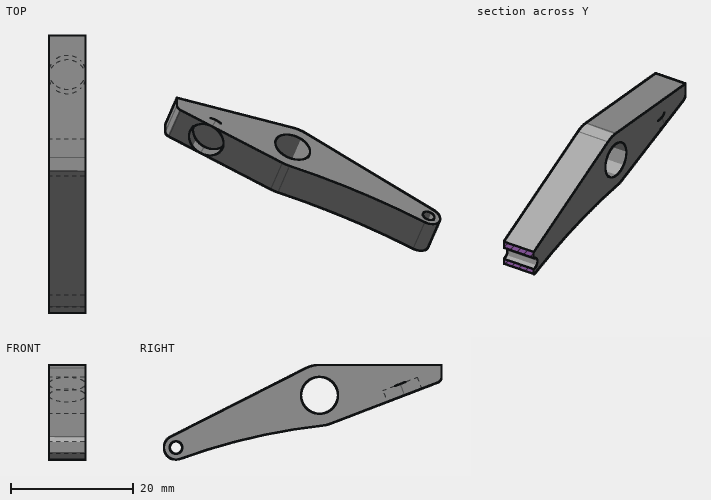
import cadquery as cq
import math

thickness = 6.0

hub_radius = 5.0
pivot_diameter = 6.0

arm_length = 25.0
arm_droop = math.radians(20)
tip_radius = 2.0
tip_hole_diameter = 2.0
underside_radius = 100.0

short_arm_length = 20.0
short_arm_slope = math.radians(21)
corner_radius = 1.0

recess_diameter = thickness
recess_depth = 2.0
recess_distance = 13.0

hub_center = (0.0, 0.0)
tip_center = (-arm_length * math.cos(arm_droop), -arm_length * math.sin(arm_droop))


def offset(point, distance, angle):
    """Point at a distance from another, at an angle from +Y towards +Z."""
    return (point[0] + distance * math.cos(angle), point[1] + distance * math.sin(angle))


top_normal = math.pi / 2 + arm_droop + math.asin((hub_radius - tip_radius) / arm_length)
slope_normal = short_arm_slope - math.pi / 2
slope_start = offset(hub_center, hub_radius, slope_normal)


def underside_angles():
    """Directions from hub and tip centers to the center of the hollow arc touching both."""
    hub_reach = underside_radius + hub_radius
    tip_reach = underside_radius + tip_radius
    along = (hub_reach**2 - tip_reach**2 + arm_length**2) / (2 * arm_length)
    arm_direction = math.pi + arm_droop
    from_hub = arm_direction + math.acos(along / hub_reach)
    from_tip = arm_direction + math.acos((along - arm_length) / tip_reach)
    return from_hub, from_tip


def lever_body():
    from_hub, from_tip = underside_angles()
    hollow_center = offset(hub_center, hub_radius + underside_radius, from_hub)
    hollow_middle_angle = (from_hub + from_tip) / 2 - math.pi
    tip_middle_angle = (top_normal + from_tip) / 2
    hub_top_middle_angle = (math.pi / 2 + top_normal) / 2
    hub_bottom_middle_angle = (from_hub - math.tau + slope_normal) / 2

    corner_height = slope_start[1] + (short_arm_length - slope_start[0]) * math.tan(short_arm_slope)

    body = (
        cq.Workplane("YZ", origin=(-thickness / 2, 0, 0))
        .moveTo(short_arm_length, hub_radius)
        .lineTo(0, hub_radius)
        .threePointArc(
            offset(hub_center, hub_radius, hub_top_middle_angle),
            offset(hub_center, hub_radius, top_normal),
        )
        .lineTo(*offset(tip_center, tip_radius, top_normal))
        .threePointArc(
            offset(tip_center, tip_radius, tip_middle_angle),
            offset(tip_center, tip_radius, from_tip),
        )
        .threePointArc(
            offset(hollow_center, underside_radius, hollow_middle_angle),
            offset(hub_center, hub_radius, from_hub),
        )
        .threePointArc(offset(hub_center, hub_radius, hub_bottom_middle_angle), slope_start)
        .lineTo(short_arm_length, corner_height)
        .close()
        .extrude(thickness)
    )
    lower_corner = cq.selectors.NearestToPointSelector((0, short_arm_length, corner_height))
    return body.edges(lower_corner).fillet(corner_radius)


def cross_hole(center, diameter):
    return (
        cq.Workplane("YZ", origin=(-thickness / 2, 0, 0))
        .center(*center)
        .circle(diameter / 2)
        .extrude(thickness)
    )


def underside_recess():
    y, z = offset(slope_start, recess_distance, short_arm_slope)
    inward = cq.Vector(0, -math.cos(slope_normal), -math.sin(slope_normal))
    plane = cq.Plane(origin=(0, y, z), xDir=(-1, 0, 0), normal=inward)
    return cq.Workplane(plane).circle(recess_diameter / 2).extrude(recess_depth)


result = (
    lever_body()
    .cut(cross_hole(hub_center, pivot_diameter))
    .cut(cross_hole(tip_center, tip_hole_diameter))
    .cut(underside_recess())
    .solids()
)